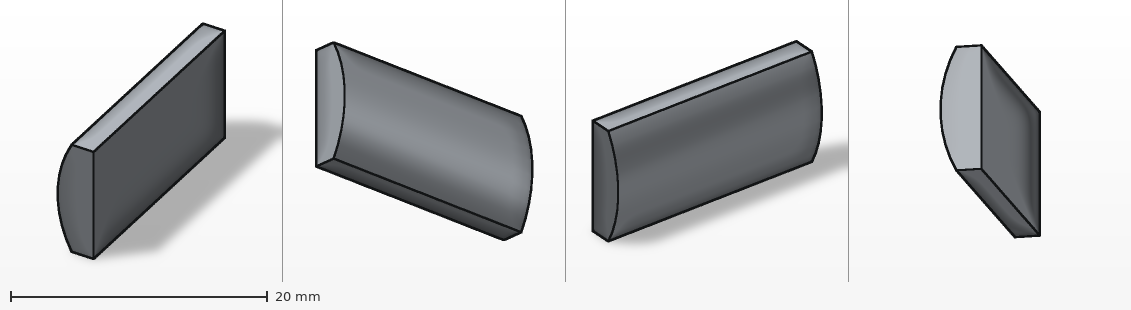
import cadquery as cq

thickness = 3.28
edge_thickness = 2.0
length = 20.0
height = 10.0

half_height = height / 2
crown_rise = thickness - edge_thickness

result = (
    cq.Workplane("XZ")
    .moveTo(thickness, -half_height)
    .lineTo(thickness, half_height)
    .lineTo(crown_rise, half_height)
    .threePointArc((0, 0), (crown_rise, -half_height))
    .close()
    .extrude(length / 2, both=True)
)